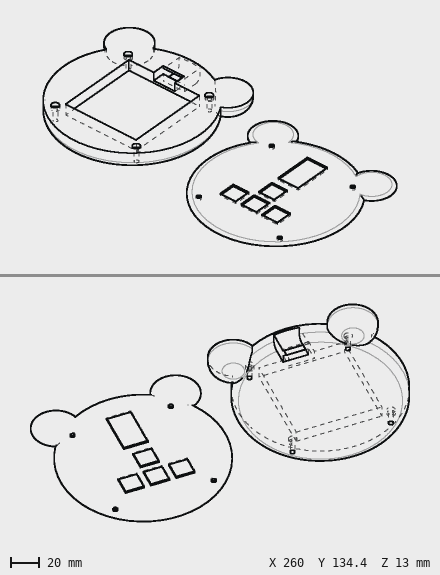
import cadquery as cq
import math

FACE_RADIUS = 62.0
EAR_RADIUS = 17.7
EAR_SPAN = 125.0
EAR_X = EAR_SPAN / 2 - EAR_RADIUS
EAR_Y = 49.7

SCREW_X = 37.0
SCREW_Y = 39.0
SCREW_DIAMETER = 3.5

CASE_HEIGHT = 13.0
FACE_FILLET = 5.0
EAR_FILLET = 10.0
POCKET_WIDTH = 64.2
POCKET_LENGTH = 67.9
POCKET_Y = 0.3
POCKET_FLOOR = 4.0
COUNTERBORE_DIAMETER = 6.0
COUNTERBORE_DEPTH = 3.0

NOTCH_WIDTH = 19.0
NOTCH_LENGTH = 10.1
NOTCH_FLOOR = 6.0
CHANNEL_ROOF = 2.0

LID_X = 135.0
LID_Y = -5.0
LID_THICKNESS = 1.5
LID_FILLET = FACE_FILLET
DISPLAY_WIDTH = 18.2
DISPLAY_LENGTH = 31.5
DISPLAY_X = 0.0
DISPLAY_Y = 28.9
KEY_SIZE = 14.0
KEY_PITCH = 19.0
KEY_X = -1.8
KEY_ROW_Y = -19.8

EAR_CENTRES = [(-EAR_X, EAR_Y), (EAR_X, EAR_Y)]
SCREW_CENTRES = [(x, y) for x in (-SCREW_X, SCREW_X) for y in (-SCREW_Y, SCREW_Y)]


def disc(radius, centre, height):
    """Upright disc standing on Z = 0."""
    return cq.Workplane("XY").center(*centre).circle(radius).extrude(height)


def box_between(x_centre, width, y_start, y_end, z_start, z_end):
    """Box given by its middle and width in X and by its limits in Y and Z."""
    return (
        cq.Workplane("XY", origin=(x_centre, (y_start + y_end) / 2, z_start))
        .rect(width, y_end - y_start)
        .extrude(z_end - z_start)
    )


def screw_holes(diameter, z_start, z_end):
    return (
        cq.Workplane("XY", origin=(0, 0, z_start))
        .pushPoints(SCREW_CENTRES)
        .circle(diameter / 2)
        .extrude(z_end - z_start)
    )


def make_case():
    case = disc(FACE_RADIUS, (0, 0), CASE_HEIGHT).faces("<Z").edges().fillet(FACE_FILLET)
    for centre in EAR_CENTRES:
        ear = disc(EAR_RADIUS, centre, CASE_HEIGHT).faces("<Z").edges().fillet(EAR_FILLET)
        case = case.union(ear)

    pocket_front = POCKET_Y - POCKET_LENGTH / 2
    pocket_back = POCKET_Y + POCKET_LENGTH / 2
    case = case.cut(box_between(0, POCKET_WIDTH, pocket_front, pocket_back, POCKET_FLOOR, CASE_HEIGHT))

    notch_back = pocket_back + NOTCH_LENGTH
    case = case.cut(box_between(0, NOTCH_WIDTH, pocket_back, notch_back, NOTCH_FLOOR, CASE_HEIGHT))

    channel_top = CASE_HEIGHT - CHANNEL_ROOF
    case = case.cut(box_between(0, NOTCH_WIDTH, notch_back, FACE_RADIUS, 0, channel_top))

    case = case.cut(screw_holes(SCREW_DIAMETER, 0, CASE_HEIGHT))
    return case.cut(screw_holes(COUNTERBORE_DIAMETER, CASE_HEIGHT - COUNTERBORE_DEPTH, CASE_HEIGHT))


def rounded_lid_disc(radius, centre):
    """Lid disc whose rim is an arc, tangent to the top and cut off by the bottom face."""

    def arc_point(height):
        """Point of the rim arc at a height, as (distance from axis, height)."""
        return arc_axis + math.sqrt(LID_FILLET**2 - (height - arc_height) ** 2), height

    arc_height = LID_THICKNESS - LID_FILLET
    arc_axis = radius - math.sqrt(LID_FILLET**2 - arc_height**2)
    disc_profile = (
        cq.Workplane("XZ")
        .lineTo(radius, 0)
        .threePointArc(arc_point(LID_THICKNESS / 2), (arc_axis, LID_THICKNESS))
        .lineTo(0, LID_THICKNESS)
        .close()
    )
    return disc_profile.revolve(360, (0, 0), (0, 1)).translate((*centre, 0))


def make_lid():
    lid = rounded_lid_disc(FACE_RADIUS, (0, 0))
    for centre in EAR_CENTRES:
        lid = lid.union(rounded_lid_disc(EAR_RADIUS, centre))

    window = cq.Workplane("XY").center(DISPLAY_X, DISPLAY_Y).rect(DISPLAY_WIDTH, DISPLAY_LENGTH)
    lid = lid.cut(window.extrude(LID_THICKNESS))

    key_centres = [(KEY_X + step * KEY_PITCH, KEY_ROW_Y) for step in (-1, 0, 1)]
    key_centres.append((KEY_X, KEY_ROW_Y + KEY_PITCH))
    keys = cq.Workplane("XY").pushPoints(key_centres).rect(KEY_SIZE, KEY_SIZE)
    lid = lid.cut(keys.extrude(LID_THICKNESS))

    lid = lid.cut(screw_holes(SCREW_DIAMETER, 0, LID_THICKNESS))
    return lid.translate((LID_X, LID_Y, 0))


case = make_case()
lid = make_lid()
result = cq.Compound.makeCompound([case.val(), lid.val()])